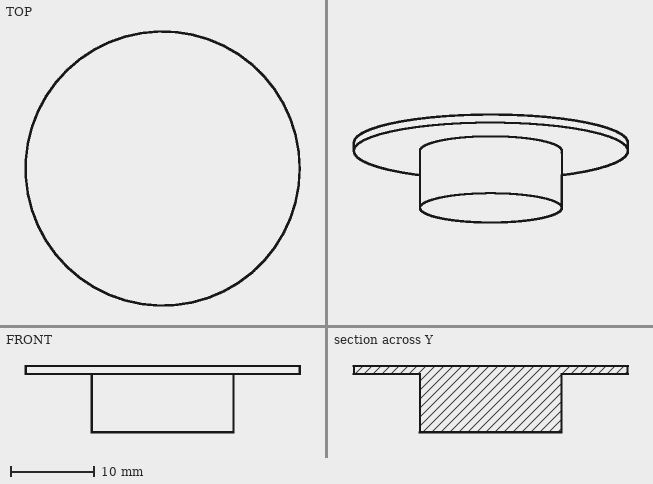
import cadquery as cq

flange_diameter = 33.0
flange_thickness = 1.0
boss_diameter = 17.1
total_height = 8.0

boss_height = total_height - flange_thickness


def make_boss():
    """Solid round boss standing on the XY plane."""
    return cq.Workplane("XY").circle(boss_diameter / 2).extrude(boss_height)


def make_flange():
    """Thin round disc resting on top of the boss."""
    return (
        cq.Workplane("XY")
        .workplane(offset=boss_height)
        .circle(flange_diameter / 2)
        .extrude(flange_thickness)
    )


result = make_boss().union(make_flange())